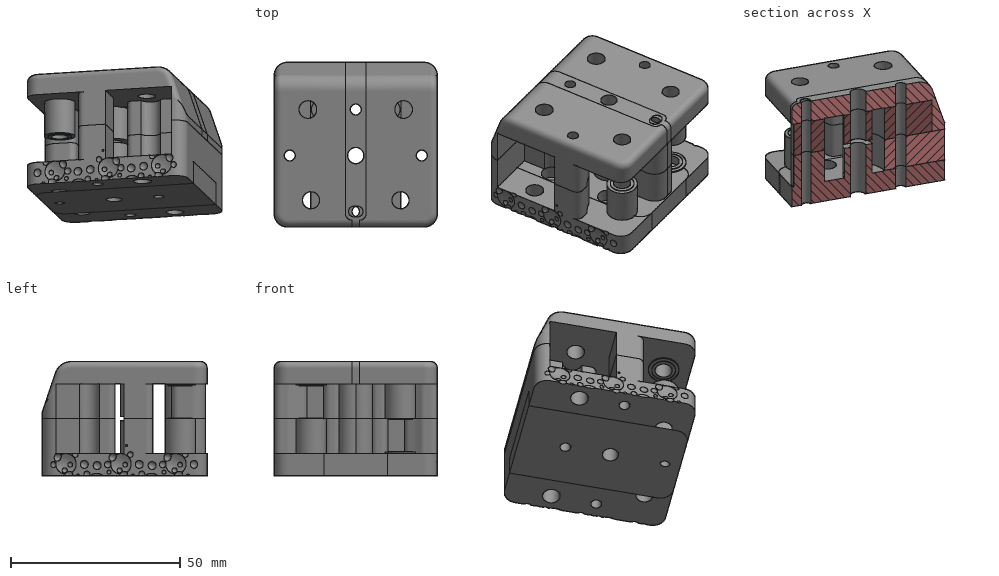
import cadquery as cq

WIDTH = 48.2
LENGTH = 48.7
HEIGHT = 33.8
MID_Z = HEIGHT / 2
FLOOR_Z = 6.6
CEILING_Z = HEIGHT - FLOOR_Z
SIDE_X = WIDTH / 2
BACK_Y = LENGTH / 2
CORNER_R = 4.0
SMALL_R = 2.0

WALL_Y = BACK_Y - CORNER_R
SLOPE_FOOT_Z = 18.9
SLOPE_TOP_Y = 19.35
SLOPE_CREST_R = 5.0

BOSS_X = 13.2
BOSS_Y = -16.4
BOSS_D = 9.0
BOSS_HOLE_D = 5.0
PAD_HEIGHT = 0.4
LIP_D = 7.0
LIP_HEIGHT = 0.2

CENTER_Y = -3.2
CENTER_HOLE_D = 4.7
CENTER_BOSS_GAP = 1.15
CENTER_CLEARANCE_R = 8.35

POST_INNER_X = 14.4
POST_FRONT_Y = -8.35
POST_BACK_Y = 0.3
POST_CLEARANCE_R = 10.32
SCREW_D = 3.15
SCREW_X = 19.5

BLOCK_X = 9.5
BLOCK_FRONT_Y = 2.82
BACK_HOLE_Y = 10.35

POCKET_D = 6.0
POCKET_X = 10.1
POCKET_DEPTH = 3.9
POCKET_FRONT_Y = -9.35

LARGE_HOLE_D = 5.2
UPPER_LARGE_X = 14.1
LOWER_LARGE_X = 19.35

COLUMN_X = 5.0
COLUMN_BACK_Y = -13.85
LOBE_X = COLUMN_X - CORNER_R
LOBE_Y = -19.85
LENS_Y = -19.7
LENS_OFFSET = 0.55
LENS_RECESS_DEPTH = 0.2

BAND_X = 13.3
STRIP_X = 3.05
STRIP_FRONT_Y = -22.3
NECK_X = STRIP_X - SMALL_R

CRATER_PITCH = 16.2
CRATER_ROW_Y = 1.1
CRATER_ROW_Z = 3.55
CRATER_FRONT_Y = -20.95
LARGE_CRATER_DEPTH = 0.23
SMALL_CRATER_DEPTH = 0.41
LARGE_CRATERS = [
    (0, 0, 3.0),
    (-9.05, -5.45, 2.7),
]
SMALL_CRATERS = [
    (2.35, 1.85, 1.0, 0.2),
    (3.9, -0.2, 0.95, 0),
    (-1.1, -0.2, 0.7, 0.6),
    (0.35, -1.75, 0.7, 0.5),
    (-2.8, 2.8, 0.85, 0),
    (-5.4, -0.15, 1.15, 0),
    (-9.2, -0.5, 1.15, 0),
    (-12.7, -2.45, 0.6, 0),
    (-6.2, -3.0, 0.9, 0),
    (-0.85, -3.1, 1.15, 0),
    (-3.5, -3.5, 0.5, 0),
    (-1.6, 5.4, 0.3, 0),
]

MARGIN = 0.5


def block(x_min, x_max, y_min, y_max, z_min, z_max):
    size = (x_max - x_min, y_max - y_min, z_max - z_min)
    return cq.Workplane("XY").box(*size, centered=False).translate((x_min, y_min, z_min))


def cylinder(x, y, diameter, z_min, z_max):
    return cq.Workplane("XY", origin=(x, y, z_min)).circle(diameter / 2).extrude(z_max - z_min)


def drill(x, y, diameter):
    return cylinder(x, y, diameter, 0, HEIGHT)


def rounded_prism(z_min, z_max):
    prism = block(-SIDE_X, SIDE_X, -BACK_Y, BACK_Y, z_min, z_max)
    return prism.edges("|Z").fillet(CORNER_R)


def flip(body):
    """Mirror a body of the lower half into the upper half."""
    return body.mirror("XY", (0, 0, MID_Z))


def flip_x(body):
    return body.mirror("YZ")



def side_post():
    post = block(-SIDE_X, -POST_INNER_X, POST_FRONT_Y, POST_BACK_Y, FLOOR_Z, MID_Z)
    post = post.cut(drill(-BOSS_X, BOSS_Y, 2 * POST_CLEARANCE_R))
    front = cq.selectors.BoxSelector(
        (-SIDE_X - MARGIN, POST_FRONT_Y - MARGIN, 0),
        (-POST_INNER_X + MARGIN, POST_BACK_Y - MARGIN, MID_Z),
    )
    return post.edges("|Z").edges(front).fillet(SMALL_R)


def back_block():
    body = block(-BLOCK_X, BLOCK_X, BLOCK_FRONT_Y, WALL_Y, FLOOR_Z, MID_Z)
    body = body.cut(drill(0, CENTER_Y, 2 * CENTER_CLEARANCE_R))
    front = cq.selectors.BoxSelector(
        (-BLOCK_X - MARGIN, BLOCK_FRONT_Y - MARGIN, 0),
        (BLOCK_X + MARGIN, BLOCK_FRONT_Y + MARGIN, MID_Z),
    )
    body = body.edges("|Z").edges(front).fillet(SMALL_R)
    for x in (-POCKET_X, POCKET_X):
        body = body.cut(drill(x, BACK_HOLE_Y, POCKET_D))
    return body


def front_column():
    column = block(-COLUMN_X, COLUMN_X, LOBE_Y, COLUMN_BACK_Y, FLOOR_Z, MID_Z)
    column = column.edges("|Z and >Y").fillet(SMALL_R)
    for x in (-LOBE_X, LOBE_X):
        column = column.union(cylinder(x, LOBE_Y, 2 * CORNER_R, FLOOR_Z, MID_Z))
    return column


def center_boss():
    return cylinder(0, CENTER_Y, BOSS_D, FLOOR_Z, MID_Z - CENTER_BOSS_GAP / 2)


def lipped_boss(x, top_z):
    boss = cylinder(x, BOSS_Y, BOSS_D, FLOOR_Z, top_z)
    return boss.union(cylinder(x, BOSS_Y, LIP_D, FLOOR_Z, top_z + LIP_HEIGHT))


def posts_and_block():
    post = side_post()
    return post.union(flip_x(post)).union(back_block())


def bosses(tall_x):
    return lipped_boss(tall_x, MID_Z).union(lipped_boss(-tall_x, FLOOR_Z + PAD_HEIGHT))



def lens_hole():
    left = drill(-LENS_OFFSET, LENS_Y, SCREW_D)
    return left.intersect(drill(LENS_OFFSET, LENS_Y, SCREW_D))


def lens_recess():
    slot = cq.Workplane("XY", origin=(0, LENS_Y, HEIGHT - LENS_RECESS_DEPTH))
    return slot.slot2D(SCREW_D + 2 * LENS_OFFSET, SCREW_D).extrude(LENS_RECESS_DEPTH)


def middle_holes(body):
    body = body.cut(drill(0, CENTER_Y, CENTER_HOLE_D))
    body = body.cut(drill(0, BACK_HOLE_Y, SCREW_D))
    return body.cut(lens_hole())


def outer_holes(body, large_x):
    for side in (-1, 1):
        body = body.cut(drill(side * SCREW_X, CENTER_Y, SCREW_D))
        body = body.cut(drill(side * BOSS_X, BOSS_Y, BOSS_HOLE_D))
        body = body.cut(drill(side * large_x, BACK_HOLE_Y, LARGE_HOLE_D))
    return body



def crater(y, z, radius, depth, sink):
    """Ball centred outside the -X side, turned so that its poles lie on the X direction."""
    sphere_r = (radius ** 2 + depth ** 2) / (2 * depth)
    center_x = -SIDE_X + sink + depth - sphere_r
    ball = cq.Workplane("XY").sphere(sphere_r).rotate((0, 0, 0), (0, 1, 0), 90)
    return ball.translate((center_x, y, z))


def crater_group(middle_y):
    """Craters of one group that lie behind the front corners."""
    group = []
    for y, z, radius in LARGE_CRATERS:
        group.append((middle_y + y, CRATER_ROW_Z + z, radius, LARGE_CRATER_DEPTH * radius, 0))
    for y, z, radius, sink in SMALL_CRATERS:
        group.append((middle_y + y, CRATER_ROW_Z + z, radius, SMALL_CRATER_DEPTH * radius, sink))
    return [crater(*place) for place in group if place[0] > CRATER_FRONT_Y]


def cut_craters(body):
    for row in (-1, 0, 1):
        for dent in crater_group(CRATER_ROW_Y + row * CRATER_PITCH):
            body = body.cut(dent).cut(flip_x(dent))
    return body



def band_outline():
    band = block(-BAND_X, BAND_X, -BACK_Y, BACK_Y, 0, FLOOR_Z)
    return band.edges("|Z and <Y").fillet(CORNER_R)


def make_lower_shell():
    shell = rounded_prism(0, FLOOR_Z).cut(band_outline())
    wall = rounded_prism(FLOOR_Z, MID_Z)
    wall = wall.intersect(block(-SIDE_X, SIDE_X, WALL_Y, BACK_Y, FLOOR_Z, MID_Z))
    shell = shell.union(wall).union(posts_and_block()).union(bosses(-BOSS_X))
    shell = outer_holes(middle_holes(shell), LOWER_LARGE_X)
    return cut_craters(shell)


def make_lower_band():
    band = band_outline().union(front_column()).union(center_boss())
    for x in (-POCKET_X, POCKET_X):
        for y in (POCKET_FRONT_Y, BACK_HOLE_Y):
            band = band.cut(cylinder(x, y, POCKET_D, FLOOR_Z - POCKET_DEPTH, FLOOR_Z))
    return middle_holes(band)



def upper_envelope():
    """Solid upper half: sloped back, rounded top edges and rounded corners."""
    profile = (
        cq.Workplane("YZ", origin=(-SIDE_X, 0, 0))
        .moveTo(-BACK_Y, MID_Z)
        .lineTo(BACK_Y, MID_Z)
        .lineTo(BACK_Y, SLOPE_FOOT_Z)
        .lineTo(SLOPE_TOP_Y, HEIGHT)
        .lineTo(-BACK_Y, HEIGHT)
        .close()
        .extrude(WIDTH)
    )
    crest = cq.selectors.NearestToPointSelector((0, SLOPE_TOP_Y, HEIGHT))
    body = profile.edges(crest).fillet(SLOPE_CREST_R)
    body = body.edges("|Z and <Y").fillet(CORNER_R)
    body = body.faces(">Z").edges("<Y").fillet(SMALL_R)
    return body.intersect(rounded_prism(MID_Z, HEIGHT))


def strip_outline():
    """Space of the strip: through the top plate and down the sloped back wall."""
    strip = block(-STRIP_X, STRIP_X, STRIP_FRONT_Y, BACK_Y, CEILING_Z, HEIGHT)
    strip = strip.edges("|Z and <Y").fillet(SMALL_R)
    neck = block(-NECK_X, NECK_X, -BACK_Y, STRIP_FRONT_Y + MARGIN, CEILING_Z, HEIGHT)
    strip = strip.union(neck)
    return strip.union(block(-STRIP_X, STRIP_X, WALL_Y, BACK_Y, MID_Z, HEIGHT))


def make_upper_shell(envelope):
    gap = block(-SIDE_X, SIDE_X, -BACK_Y, WALL_Y, MID_Z, CEILING_Z)
    shell = envelope.cut(gap).cut(strip_outline())
    supports = posts_and_block().union(front_column()).union(center_boss())
    shell = shell.union(flip(supports)).union(flip(bosses(BOSS_X)))
    return outer_holes(middle_holes(shell), UPPER_LARGE_X)


def make_upper_strip(envelope):
    strip = envelope.intersect(strip_outline())
    return middle_holes(strip).cut(lens_recess())


envelope = upper_envelope()
lower_shell = make_lower_shell()
lower_band = make_lower_band()
upper_shell = make_upper_shell(envelope)
upper_strip = make_upper_strip(envelope)

result = cq.Compound.makeCompound([
    lower_shell.solids().val(),
    lower_band.solids().val(),
    upper_shell.solids().val(),
    upper_strip.solids().val(),
])